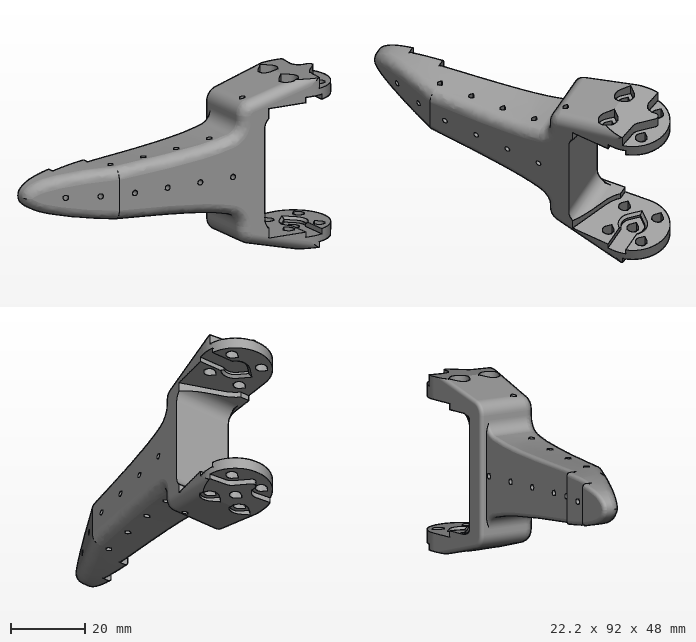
import cadquery as cq
import math

disc_radius = 10.0
tip_y = -82.0
half_height = 24.0
reach = 18.4
tolerance = 0.1
margin = 0.9

draft = math.radians(15)
slope_start_y = -4.9
back_y = 13.8
crossbar_y = -22.0
finger_root_z = 11.9
corner_radius = 4.0
finger_curve = [(-39.8, 8.7), (-53.2, 7.7), (-68.1, 6.4), (-74.8, 5.15), (-79.8, 3.2)]
left_rounding = 1.0
right_rounding = 3.0

finger_left_xs = [-8.3, -10.3, -12.2]
step_ys = [-61.9, -71.9]
arm_left_x = -disc_radius

flank_tilt = math.radians(6.2)
toe_tilt = math.radians(26.1)
kink_y = -59.15

cavity_y = -15.1
cavity_top = 16.0
cavity_bottom = -17.2
horn_top = 17.7
horn_bottom = -18.95
horn_step_y = -7.3
horn_clearance_radius = 10.3
horn_exit_tilt = math.radians(19)
bevel_depth = 1.0
bevel_width = 1.4
bevel_corner_radius = 1.8

pad_relief_top = 21.0
pad_relief_bottom = -22.4
screw_offset = 5.0
screw_radius = 1.6
head_radius = 2.7
spike_radius = 1.1
hub_radius = 4.0
hub_taper_depth = 0.7
hub_taper_angle = 45
horn_depth = 1.5
horn_slot_width = 5.2

thread_radius = 0.7
thread_pitch = 10.0
flank_hole_start_y = -23.0
flank_hole_count = 4
toe_holes = [(-59.0, toe_tilt), (-67.0, math.radians(35))]
cross_hole_start = (2.9, -18.8)
cross_hole_count = 5
tilted_holes = [
    (finger_left_xs[0], flank_hole_start_y - i * thread_pitch, flank_tilt) for i in range(flank_hole_count)
]
tilted_holes += [(left_x, y, tilt) for left_x, (y, tilt) in zip(finger_left_xs, toe_holes)]


def flank_x(y):
    """X of the flank, a line tangent to the round end."""
    return (disc_radius + y * math.sin(flank_tilt)) / math.cos(flank_tilt)


bend_length = corner_radius * math.tan((math.pi / 2 - draft) / 2)
bend_dy = bend_length * math.cos(draft)
bend_dz = bend_length * math.sin(draft)
back_z = half_height + (back_y - slope_start_y) * math.tan(draft)
corner_z = half_height + (crossbar_y - slope_start_y) * math.tan(draft)
slope_end = (crossbar_y + bend_dy, corner_z + bend_dz)
wall_start = (crossbar_y, corner_z - bend_length)
wall_end = (crossbar_y, finger_root_z + bend_length)
finger_start = (crossbar_y - bend_dy, finger_root_z - bend_dz)
draft_direction = (-math.cos(draft), -math.sin(draft))


def upper_shoulder(plane):
    """Outline of the upper arm from its back end to the crossbar."""
    return (
        plane.moveTo(back_y, 0)
        .lineTo(back_y, back_z)
        .lineTo(*slope_end)
        .tangentArcPoint(wall_start, relative=False)
    )


def upper_half(x_left, x_right):
    """Upper half of fork and finger, without rounding, between two X positions."""
    outline = (
        upper_shoulder(cq.Workplane("YZ", origin=(x_left, 0, 0)))
        .lineTo(*wall_end)
        .tangentArcPoint(finger_start, relative=False)
        .spline(finger_curve + [(tip_y, 0)], tangents=[draft_direction, (0, -1)], includeCurrent=True)
        .close()
    )
    return outline.extrude(x_right - x_left)


def is_outline_edge(edge):
    """True unless the edge lies on Z = 0 or runs upright across the side from it."""
    box = edge.BoundingBox()
    on_mirror_plane = box.zmax < tolerance
    crosses_side = box.zmin < tolerance and box.ylen < tolerance
    return not on_mirror_plane and not crosses_side


def round_outline(body, face_filter, radius):
    """Round the outline edges of the chosen side faces of an upper half."""
    return body.faces(face_filter).edges().filter(is_outline_edge).fillet(radius)


def with_mirror(body):
    """Upper half joined with its mirror image below Z = 0."""
    return body.union(body.mirror("XY"))


def block(x_range, y_range, z_range):
    """Box between the given limits."""
    size = [high - low for low, high in (x_range, y_range, z_range)]
    corner = (x_range[0], y_range[0], z_range[0])
    return cq.Workplane("XY").box(*size, centered=False).translate(corner)


def arms():
    """Both arms and the crossbar as a full block, with the left outline rounded."""
    plane = cq.Workplane("YZ", origin=(arm_left_x, 0, 0))
    half = upper_shoulder(plane).lineTo(crossbar_y, 0).close().extrude(reach - arm_left_x)
    return with_mirror(round_outline(half, "<X", left_rounding))


def finger():
    """Finger in front of the crossbar, stepped on the left, with its left outline rounded."""
    lowest_x = min(finger_left_xs)
    half = upper_half(lowest_x, reach)
    z_range = (-margin, 2 * half_height)
    for left_x, end_y in zip(finger_left_xs, step_ys):
        half = half.cut(block((lowest_x - margin, left_x), (end_y, back_y + margin), z_range))
    half = round_outline(half, "-X", left_rounding)
    front = block((-reach, reach), (tip_y - margin, crossbar_y), (-margin, half_height))
    return with_mirror(half.intersect(front))


def right_side():
    """Fork and finger bounded by the flank and the toe on the right."""
    far_y = back_y + margin
    end_y = tip_y - reach
    kink = (flank_x(kink_y), kink_y)
    toe_end = (kink[0] + (end_y - kink_y) * math.tan(toe_tilt), end_y)
    trim = (
        cq.Workplane("XY")
        .polyline([(flank_x(far_y), far_y), kink, toe_end, (-2 * reach, end_y), (-2 * reach, far_y)])
        .close()
        .extrude(2 * half_height)
    )
    half = upper_half(-reach, reach).intersect(trim)
    return with_mirror(round_outline(half, ">X or >>X[-2]", right_rounding))


def end_trim():
    """Upright body with the round end of the discs and the flat tops of the pads."""
    tangent_y = -disc_radius * math.sin(flank_tilt)
    outline = (
        cq.Workplane("XY", origin=(0, 0, -half_height))
        .moveTo(-disc_radius, 0)
        .threePointArc((0, disc_radius), (flank_x(tangent_y), tangent_y))
        .lineTo(reach, tangent_y)
        .lineTo(reach, tip_y - margin)
        .lineTo(-reach, tip_y - margin)
        .lineTo(-reach, 0)
        .close()
    )
    return outline.extrude(2 * half_height)


def horn_space():
    """Wider space around the horns: a straight step on the left, an arc, and its tangent on the right."""
    height = horn_top - horn_bottom
    plane = cq.Workplane("XY", origin=(0, 0, horn_bottom))
    radius = horn_clearance_radius
    along = (math.cos(horn_exit_tilt), -math.sin(horn_exit_tilt))
    tangent = (along[1] * radius, -along[0] * radius)
    exit_end = (tangent[0] + along[0] * reach, tangent[1] + along[1] * reach)
    straight = block((-reach, reach), (horn_step_y, reach), (horn_bottom, horn_top))
    sweep = plane.circle(radius).extrude(height)
    exit_side = plane.polyline([(0, 0), tangent, exit_end, (exit_end[0], 0)]).close().extrude(height)
    return straight.union(sweep).union(exit_side)


def cavity():
    """Space between the arms, with a beveled left edge along the crossbar."""
    z_range = (cavity_bottom, cavity_top)
    x_range = (-reach, reach)
    space = block(x_range, (cavity_y, reach), z_range).edges("|X and <Y").fillet(corner_radius)

    inner_x = arm_left_x + bevel_depth
    outer_x = arm_left_x - bevel_depth
    wedge = (
        cq.Workplane("XY", origin=(0, 0, cavity_bottom))
        .polyline([(inner_x, cavity_y), (outer_x, cavity_y - 2 * bevel_width), (outer_x, 0), (inner_x, 0)])
        .close()
        .extrude(cavity_top - cavity_bottom)
        .edges(cq.selectors.ParallelDirSelector(cq.Vector(bevel_depth, bevel_width, 0)))
        .fillet(bevel_corner_radius)
    )

    return space.union(wedge).union(horn_space())


def teardrop(plane, radius):
    """Circle with a right-angled point towards -X, drawn around each point of the plane."""
    side = radius / math.sqrt(2)
    outline = (
        cq.Workplane("XY")
        .moveTo(-side, -side)
        .threePointArc((radius, 0), (-side, side))
        .lineTo(-2 * side, 0)
        .close()
        .wire()
        .val()
    )
    return plane.eachpoint(lambda place: outline.moved(place), combine=False)


def pad_relief():
    """Area behind the pad: its edge follows the rear screw heads and a spike stands between them."""
    p = screw_offset
    r = head_radius
    diagonal = r / math.sqrt(2)
    slope = math.tan(flank_tilt)
    foot_x = -r * math.sin(flank_tilt)
    foot_y = p - r * math.cos(flank_tilt)
    side_run = reach - p
    spike_left = r - p
    spike_x = spike_left + spike_radius
    spike_y = 2 * p - r * math.sqrt(2) - spike_x - spike_radius * math.sqrt(2)
    spike_side = spike_radius / math.sqrt(2)
    mid_angle = math.pi / 8
    return (
        cq.Workplane("XY")
        .moveTo(-reach, foot_y + side_run * slope)
        .lineTo(-p + foot_x, foot_y)
        .threePointArc((-p + diagonal, p - diagonal), (spike_left, p))
        .lineTo(spike_left, spike_y)
        .threePointArc(
            (spike_x - spike_radius * math.sin(mid_angle), spike_y + spike_radius * math.cos(mid_angle)),
            (spike_x + spike_side, spike_y + spike_side),
        )
        .lineTo(p - diagonal, p - diagonal)
        .threePointArc(
            (p - r * math.sin(mid_angle), p - r * math.cos(mid_angle)),
            (p + foot_x, foot_y),
        )
        .lineTo(reach, foot_y - side_run * slope)
        .lineTo(reach, reach)
        .lineTo(-reach, reach)
        .close()
        .extrude(reach)
    )


def horn_pocket():
    """Recess below Z = 0: a teardrop hub with a tapered rim and a slot to the right."""
    pivot = cq.Workplane("XY").pushPoints([(0, 0)])
    hub_floor_radius = hub_radius - hub_taper_depth * math.tan(math.radians(hub_taper_angle))
    hub = teardrop(pivot, hub_radius).extrude(-hub_taper_depth, taper=hub_taper_angle)
    core = teardrop(pivot, hub_floor_radius).extrude(-horn_depth)
    slot = block((0, reach), (-horn_slot_width / 2, horn_slot_width / 2), (-horn_depth, 0))
    return hub.union(core).union(slot)


def screw_cuts():
    """Screw holes through both discs and the room for the screw heads outside the relief levels."""
    places = [(x, y) for x in (-screw_offset, screw_offset) for y in (-screw_offset, screw_offset)]
    bores = teardrop(cq.Workplane("XY", origin=(0, 0, -2 * reach)).pushPoints(places), screw_radius)
    bores = bores.extrude(4 * reach)
    heads = teardrop(cq.Workplane("XY").pushPoints(places), head_radius).extrude(reach)
    outside = heads.union(pad_relief())
    above = outside.translate((0, 0, pad_relief_top))
    below = outside.translate((0, 0, pad_relief_bottom - reach))
    return bores.union(above).union(below)


def horn_cuts():
    """Horn recesses in the inner disc faces and a centre hole through the lower disc."""
    lower = horn_pocket().translate((0, 0, horn_bottom))
    upper = horn_pocket().mirror("XY").translate((0, 0, horn_top))
    pivot = cq.Workplane("XY").pushPoints([(0, 0)])
    centre = teardrop(pivot, screw_radius).extrude(-2 * reach)
    return lower.union(upper).union(centre)


def thread_holes():
    """Small holes across the finger: tilted ones from the left face, and a row along Z beside the flank."""
    holes = cq.Workplane("XY")
    for x, y, tilt in tilted_holes:
        start = cq.Vector(x, y, 0)
        direction = cq.Vector(math.cos(tilt), -math.sin(tilt), 0)
        start = start - direction * (reach / 2)
        holes = holes.add(cq.Solid.makeCylinder(thread_radius, 2 * reach, start, direction))
    first_x, first_y = cross_hole_start
    places = [
        (first_x - distance * math.sin(flank_tilt), first_y - distance * math.cos(flank_tilt))
        for distance in [i * thread_pitch for i in range(cross_hole_count)]
    ]
    cross = teardrop(cq.Workplane("XY", origin=(0, 0, -2 * reach)).pushPoints(places), thread_radius)
    return holes.combine().union(cross.extrude(4 * reach))


body = arms().union(finger())
body = body.intersect(right_side()).intersect(end_trim())
result = body.cut(cavity()).cut(screw_cuts()).cut(horn_cuts()).cut(thread_holes())